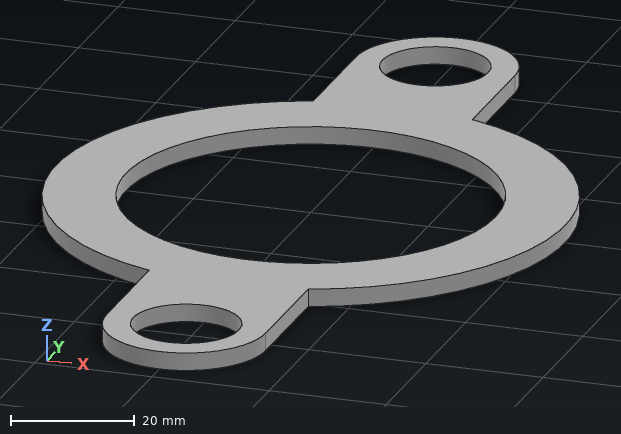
import cadquery as cq

overall_length = 152.6
ring_diameter = 87.0
bore_diameter = 63.0
tab_width = 27.2
bolt_hole_diameter = 18.0
thickness = 3.0

bolt_hole_spacing = overall_length - tab_width


def make_ring():
    """Round gasket body, resting on Z = 0."""
    return cq.Workplane("XY").circle(ring_diameter / 2).extrude(thickness)


def make_tabs():
    """Round-ended bar along Y that forms both tabs."""
    return cq.Workplane("XY").slot2D(overall_length, tab_width, 90).extrude(thickness)


def cut_holes(body):
    """Cut the central bore and one bolt hole in each tab."""
    bore = cq.Workplane("XY").circle(bore_diameter / 2).extrude(thickness)
    bolt_holes = (
        cq.Workplane("XY")
        .rarray(1.5, bolt_hole_spacing, 1, 2)
        .circle(bolt_hole_diameter / 2)
        .extrude(thickness)
    )
    return body.cut(bore).cut(bolt_holes)


result = cut_holes(make_ring().union(make_tabs()))